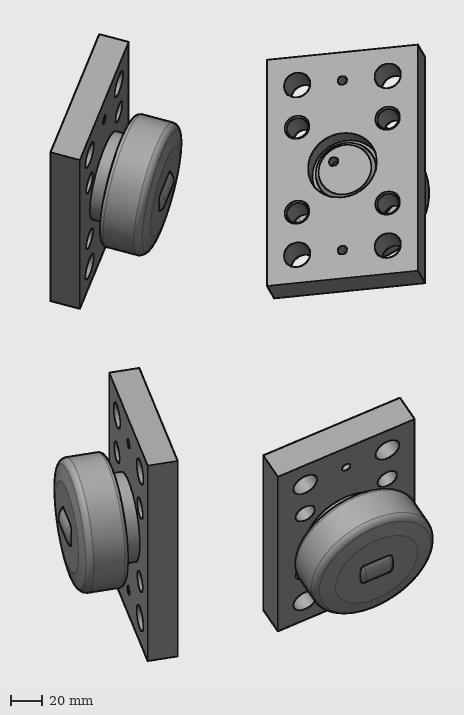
import cadquery as cq
import math

plate_thickness = 20.0
plate_width = 100.0
plate_height = 160.0
hole_y = 0.3 * plate_width
outer_hole_z = 60.0
inner_hole_z = outer_hole_z / 2
clearance_radius = 8.6
tapped_radius = 7.0
tapped_chamfer = 1.1
pilot_radius = 3.0

pocket_radius = 22.7
pocket_depth = 12.0
pin_radius = 20.0
pin_chamfer = 2.5
pin_end_x = 7.0
grease_hole_radius = 3.0
grease_hole_depth = 8.0
grease_hole_y = 7.5
grease_hole_z = 6.5
drill_point_angle = 118.0

neck_radius = 29.5
collar_radius = 31.0
collar_start_x = 29.1
roller_radius = 44.3
roller_start_x = 30.9
roller_edge_radius = 2.7
shoulder_start_x = 54.4
shoulder_end_x = 58.9
shoulder_end_radius = 40.8
shoulder_mid_x = 57.3
shoulder_mid_radius = 43.0
front_face_x = 61.0
front_face_radius = 30.0

overall_length = 64.0
side_roller_radius = 14.4
side_roller_length = 23.5
side_roller_edge = 2.7


def rod(radius, start_x, end_x, y=0.0, z=0.0):
    """Cylinder along X between two stations."""
    start = cq.Vector(start_x, y, z)
    return cq.Workplane(cq.Solid.makeCylinder(radius, end_x - start_x, start, cq.Vector(1, 0, 0)))


def cone(start_radius, end_radius, start_x, end_x, y=0.0, z=0.0):
    """Cone along X between two stations."""
    start = cq.Vector(start_x, y, z)
    direction = cq.Vector(1, 0, 0)
    return cq.Workplane(
        cq.Solid.makeCone(start_radius, end_radius, end_x - start_x, start, direction)
    )


def make_plate():
    plate = cq.Workplane().box(
        plate_thickness, plate_width, plate_height, centered=(False, True, True)
    )
    plate = plate.cut(rod(pocket_radius, 0, pocket_depth))
    for side_z in (-1, 1):
        plate = plate.cut(rod(pilot_radius, 0, plate_thickness, z=side_z * outer_hole_z))
        for side_y in (-1, 1):
            y = side_y * hole_y
            plate = plate.cut(rod(clearance_radius, 0, plate_thickness, y, side_z * outer_hole_z))
            z = side_z * inner_hole_z
            plate = plate.cut(rod(tapped_radius, 0, plate_thickness, y, z))
            mouth_radius = tapped_radius + tapped_chamfer
            plate = plate.cut(cone(mouth_radius, tapped_radius, 0, tapped_chamfer, y, z))
    return plate


def make_pin_end():
    return rod(pin_radius, pin_end_x, plate_thickness).faces("<X").chamfer(pin_chamfer)


def make_grease_hole():
    hole_end_x = pin_end_x + grease_hole_depth
    point_length = grease_hole_radius / math.tan(math.radians(drill_point_angle / 2))
    hole = rod(grease_hole_radius, pin_end_x, hole_end_x, grease_hole_y, grease_hole_z)
    point = cone(
        grease_hole_radius, 0, hole_end_x, hole_end_x + point_length, grease_hole_y, grease_hole_z
    )
    return hole.union(point)


def make_main_roller():
    back_edge_middle = roller_edge_radius * (1 - math.sqrt(0.5))
    profile = (
        cq.Workplane("XY")
        .moveTo(plate_thickness, 0)
        .lineTo(plate_thickness, neck_radius)
        .lineTo(collar_start_x, neck_radius)
        .lineTo(collar_start_x, collar_radius)
        .lineTo(roller_start_x, collar_radius)
        .lineTo(roller_start_x, roller_radius - roller_edge_radius)
        .threePointArc(
            (roller_start_x + back_edge_middle, roller_radius - back_edge_middle),
            (roller_start_x + roller_edge_radius, roller_radius),
        )
        .lineTo(shoulder_start_x, roller_radius)
        .threePointArc(
            (shoulder_mid_x, shoulder_mid_radius), (shoulder_end_x, shoulder_end_radius)
        )
        .lineTo(front_face_x, front_face_radius)
        .lineTo(front_face_x, 0)
        .close()
    )
    return profile.revolve(360, (0, 0, 0), (1, 0, 0))


def make_side_roller():
    roller = cq.Workplane("XZ").circle(side_roller_radius).extrude(side_roller_length / 2, both=True)
    roller = roller.faces("<Y or >Y").edges().fillet(side_roller_edge)
    return roller.translate((overall_length - side_roller_radius, 0, 0))


result = (
    make_plate()
    .union(make_pin_end())
    .union(make_main_roller())
    .union(make_side_roller())
    .cut(make_grease_hole())
)